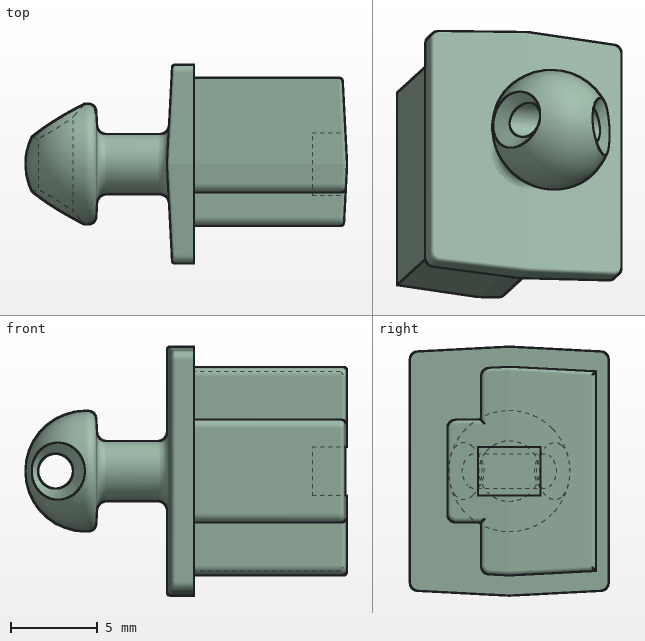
import cadquery as cq
import math

DRAFT = math.tan(math.radians(3))

FLANGE_WIDTH = 11.5
FLANGE_HEIGHT = 14.4
FLANGE_THICKNESS = 1.57
FLANGE_CORNER_RADIUS = 0.5
FLANGE_EDGE_RADIUS = 0.2

BODY_LENGTH = 8.85
BODY_HEIGHT = 12.06
BODY_TOP_Y = 5.0
BODY_LEDGE_Y = -1.63
KEY_FACE_Y = -3.58
KEY_HEIGHT = 5.94
BODY_CORNER_RADIUS = 0.5
BODY_END_RADIUS = 0.25

RECESS_WIDTH = 3.6
RECESS_HEIGHT = 2.8
RECESS_DEPTH = 2.0

BALL_RADIUS = 3.5
BALL_TIP_X = -9.75
NECK_RADIUS = 1.75
NECK_LENGTH = 4.0
NECK_EMBED = 0.5
NECK_FILLET_RADIUS = 0.5
RIM_RADIUS = 0.5

CORD_HOLE_DIAMETER = 2.0
CORD_HOLE_X = -8.0
CORD_HOLE_CHAMFER = 0.7

TOLERANCE = 0.01

BALL_CENTER_X = BALL_TIP_X + BALL_RADIUS
BALL_BACK_X = -FLANGE_THICKNESS - NECK_LENGTH


def ridged_distance(peak, y):
    """Distance of a ridged face at a given y, given its peak distance at Y = 0."""
    return peak - DRAFT * abs(y)


def ridged_block(y_low, y_high, peak_z, x_side, peak_x):
    """Block with ridged +Z, -Z and end faces; x_side (1 or -1) is the way it runs from X = 0."""
    ys = (y_low, 0, y_high)
    upper = [(y, ridged_distance(peak_z, y)) for y in ys]
    lower = [(y, -z) for y, z in reversed(upper)]
    section = cq.Workplane("YZ").polyline(upper + lower).close().extrude(x_side * peak_x)
    return section.intersect(end_wedge(y_low, y_high, peak_z, x_side, peak_x))


def end_wedge(y_low, y_high, half_height, x_side, peak_x):
    """Prism along Z, from X = 0 to an end face on the x_side (1 or -1) that is ridged at Y = 0."""
    outline = [(0, y_low), (0, y_high)]
    outline += [(x_side * ridged_distance(peak_x, y), y) for y in (y_high, 0, y_low)]
    return cq.Workplane("XY").polyline(outline).close().extrude(half_height, both=True)


def without_ridge(edges):
    """The given edges, less the ridge line and any others centred on Y = 0."""
    return [edge for edge in edges.vals() if abs(edge.Center().y) > TOLERANCE]


def make_flange():
    half_width = FLANGE_WIDTH / 2
    flange = ridged_block(-half_width, half_width, FLANGE_HEIGHT / 2, -1, FLANGE_THICKNESS)
    flange = flange.faces("<Y or >Y").edges("|X").fillet(FLANGE_CORNER_RADIUS)
    outer_edges = flange.edges(cq.selectors.BoxSelector(
        (-FLANGE_THICKNESS - TOLERANCE, -FLANGE_WIDTH, -FLANGE_HEIGHT),
        (-FLANGE_THICKNESS / 2, FLANGE_WIDTH, FLANGE_HEIGHT),
    ))
    return flange.newObject(without_ridge(outer_edges)).fillet(FLANGE_EDGE_RADIUS)


def make_body():
    wide = ridged_block(BODY_LEDGE_Y, BODY_TOP_Y, BODY_HEIGHT / 2, 1, BODY_LENGTH)
    key = end_wedge(KEY_FACE_Y, BODY_TOP_Y, KEY_HEIGHT / 2, 1, BODY_LENGTH)
    wide = wide.faces("<Y").edges("|X").fillet(BODY_CORNER_RADIUS)
    key = key.faces("<Y").edges("|X").fillet(BODY_CORNER_RADIUS)
    body = wide.union(key).clean()
    end_edges = body.edges(cq.selectors.BoxSelector(
        (BODY_LENGTH - BODY_CORNER_RADIUS, -FLANGE_WIDTH, -FLANGE_HEIGHT),
        (BODY_LENGTH + TOLERANCE, FLANGE_WIDTH, FLANGE_HEIGHT),
    ))
    body = body.newObject(without_ridge(end_edges)).fillet(BODY_END_RADIUS)
    return body.cut(make_recess())


def make_recess():
    bottom = cq.Workplane("YZ", origin=(BODY_LENGTH - RECESS_DEPTH, 0, 0))
    return bottom.rect(RECESS_WIDTH, RECESS_HEIGHT).extrude(RECESS_DEPTH)


def make_knob():
    """Ball, rim and neck turned about the X axis; the back of the ball is slightly conical."""
    rim_x = BALL_BACK_X - DRAFT * (BALL_RADIUS - NECK_RADIUS)
    arc_mid = BALL_RADIUS * math.sqrt(0.5)
    neck_end_x = NECK_EMBED - FLANGE_THICKNESS
    knob = (
        cq.Workplane("XY")
        .moveTo(BALL_TIP_X, 0)
        .threePointArc((BALL_CENTER_X - arc_mid, arc_mid), (BALL_CENTER_X, BALL_RADIUS))
        .lineTo(rim_x, BALL_RADIUS)
        .lineTo(BALL_BACK_X, NECK_RADIUS)
        .lineTo(neck_end_x, NECK_RADIUS)
        .lineTo(neck_end_x, 0)
        .close()
        .revolve(360, (0, 0, 0), (1, 0, 0))
    )
    knob = knob.edges(circle_near(rim_x, BALL_RADIUS)).fillet(RIM_RADIUS)
    knob = knob.edges(circle_near(BALL_BACK_X, NECK_RADIUS)).fillet(NECK_FILLET_RADIUS)
    return cut_cord_hole(knob)


def circle_near(x, radius):
    """Selector for the edges around the X axis that lie close to a given circle."""
    reach = radius + TOLERANCE
    return cq.selectors.BoxSelector(
        (x - TOLERANCE, -reach, -reach), (x + TOLERANCE, reach, reach), boundingbox=True
    )


def cut_cord_hole(knob):
    hole = (
        cq.Workplane("XZ", origin=(CORD_HOLE_X, 0, 0))
        .circle(CORD_HOLE_DIAMETER / 2)
        .extrude(2 * BALL_RADIUS, both=True)
    )
    knob = knob.cut(hole)
    mouth_reach = CORD_HOLE_DIAMETER / 2 + TOLERANCE
    mouths = cq.selectors.BoxSelector(
        (CORD_HOLE_X - mouth_reach, -BALL_RADIUS, -mouth_reach),
        (CORD_HOLE_X + mouth_reach, BALL_RADIUS, mouth_reach),
        boundingbox=True,
    )
    return knob.edges(mouths).edges("not %LINE").chamfer(CORD_HOLE_CHAMFER)


def join_knob_to_flange():
    joined = make_flange().union(make_knob())
    flange_ring = cq.selectors.BoxSelector(
        (-FLANGE_THICKNESS - TOLERANCE, -NECK_RADIUS - TOLERANCE, -NECK_RADIUS - TOLERANCE),
        (0, NECK_RADIUS + TOLERANCE, NECK_RADIUS + TOLERANCE),
        boundingbox=True,
    )
    return joined.edges(flange_ring).fillet(NECK_FILLET_RADIUS)


result = join_knob_to_flange().union(make_body())